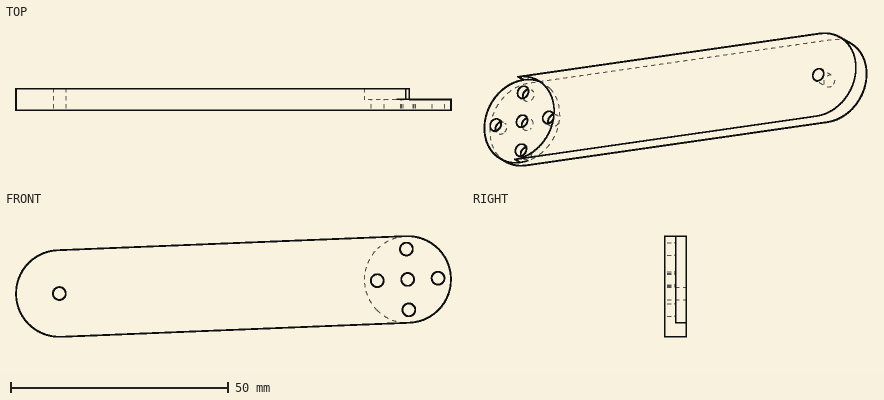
import cadquery as cq
import math

end_radius = 10.0
rise_x = 80.16
rise_z = 3.24
thickness = 5.0
seat_floor = 2.5
hole_diameter = 2.9
bolt_circle_radius = 7.0
bolt_count = 4

pivot_distance = math.hypot(rise_x, rise_z)
tilt = math.degrees(math.atan2(rise_z, rise_x))


def back_plane():
    """Back face of the untilted link: origin at the near pivot, local x along the link, extruding to -Y."""
    return cq.Workplane("XZ", origin=(0, thickness, 0))


def make_body():
    """Flat bar with full-round ends centred on the two pivots."""
    return (
        back_plane()
        .center(pivot_distance / 2, 0)
        .slot2D(pivot_distance + 2 * end_radius, 2 * end_radius)
        .extrude(thickness)
    )


def make_seat_cut():
    """Round seat in the back of the far end, concentric with its pivot and as wide as the bar."""
    return (
        back_plane()
        .center(pivot_distance, 0)
        .circle(end_radius)
        .extrude(thickness - seat_floor)
    )


def make_pivot_holes():
    """Through hole at each of the two pivots."""
    return (
        back_plane()
        .pushPoints([(0, 0), (pivot_distance, 0)])
        .circle(hole_diameter / 2)
        .extrude(thickness)
    )


def make_bolt_holes():
    """Ring of through holes around the far pivot, starting on the link axis."""
    return (
        back_plane()
        .center(pivot_distance, 0)
        .polarArray(bolt_circle_radius, 0, 360, bolt_count)
        .circle(hole_diameter / 2)
        .extrude(thickness)
    )


link = make_body()
for cutter in (make_seat_cut(), make_pivot_holes(), make_bolt_holes()):
    link = link.cut(cutter)

result = link.rotate((0, 0, 0), (0, -1, 0), tilt)